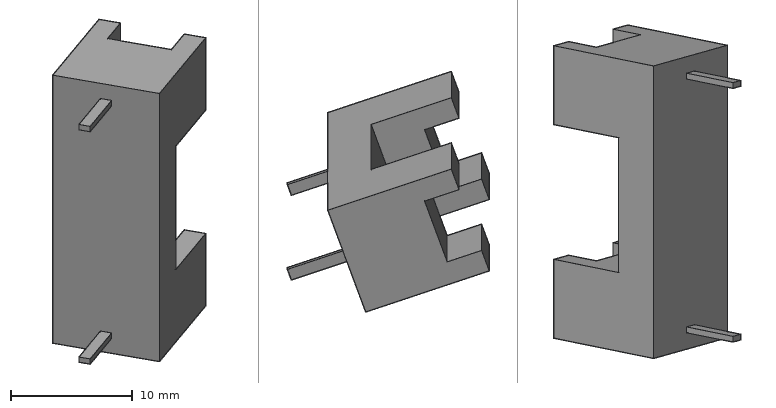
import cadquery as cq

body_width = 9.4
body_length = 24.8
overall_depth = 15.8
pin_length = 5.0
body_depth = overall_depth - pin_length

gap_length = 11.4
gap_depth = 7.0

groove_width = 5.6
groove_depth = 3.0

pin_width = 1.0
pin_thickness = 0.5
pin_spacing = 21.5


def back_cut(width, depth, length):
    """Box that opens onto the back face and is centred in X and Z."""
    return (
        cq.Workplane("XY")
        .box(width, depth, length, centered=(True, False, True))
        .translate((0, body_depth - depth, 0))
    )


def pin(z):
    """Flat pin that projects from the front face at height z."""
    return (
        cq.Workplane("XY")
        .box(pin_width, pin_length, pin_thickness, centered=(True, False, True))
        .translate((0, -pin_length, z))
    )


result = cq.Workplane("XY").box(
    body_width, body_depth, body_length, centered=(True, False, True)
)
result = result.cut(back_cut(body_width, gap_depth, gap_length))
result = result.cut(back_cut(groove_width, groove_depth, body_length))

for side in (-1, 1):
    result = result.union(pin(side * pin_spacing / 2))